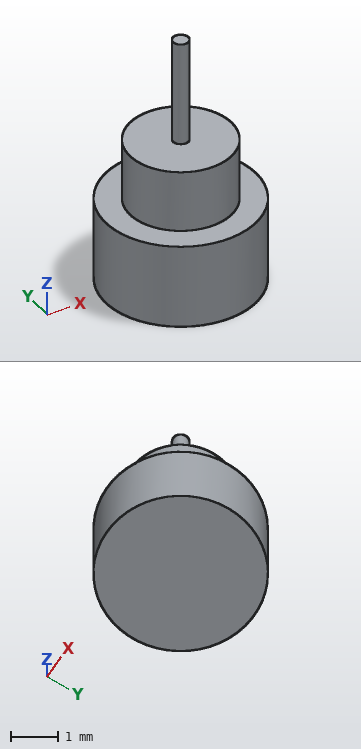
import cadquery as cq

base_diameter = 3.7
base_height = 2.05
barrel_diameter = 2.5
barrel_height = 1.5
seal_diameter = 1.95
pin_diameter = 0.38
total_height = 6.1

barrel_top = base_height + barrel_height
pin_length = total_height - barrel_top


def cylinder(diameter, bottom, height):
    """Upright cylinder on the Z axis."""
    return cq.Workplane("XY").workplane(offset=bottom).circle(diameter / 2).extrude(height)


def make_shell():
    """Stepped body with a round bore through the barrel for the seal."""
    base = cylinder(base_diameter, 0, base_height)
    barrel = cylinder(barrel_diameter, base_height, barrel_height)
    bore = cylinder(seal_diameter, base_height, barrel_height)
    return base.union(barrel).cut(bore)


def make_seal():
    """Plug that fills the bore flush with the barrel top."""
    return cylinder(seal_diameter, base_height, barrel_height)


def make_pin():
    """Contact pin standing on the seal."""
    return cylinder(pin_diameter, barrel_top, pin_length)


result = make_shell().union(make_seal(), clean=False).union(make_pin(), clean=False)